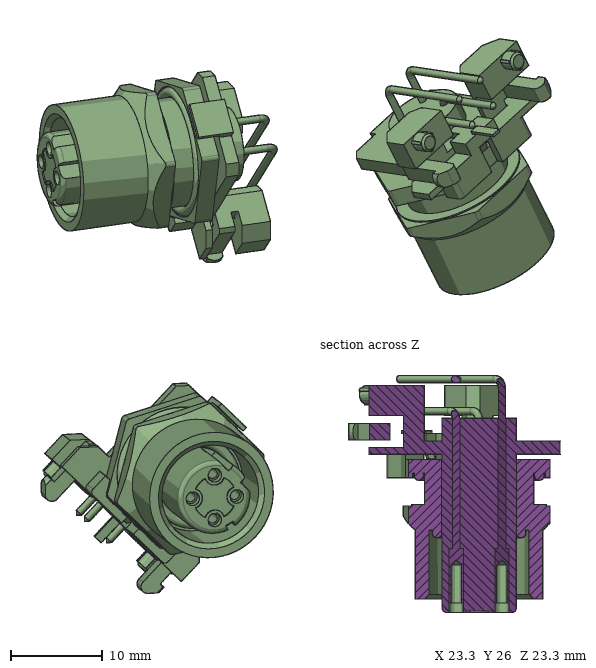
import cadquery as cq
import math

BOARD_TILT = 45
OVERALL_LENGTH = 25.95

FLANGE_FRONT = 0
FLANGE_BACK = 2.02
PLATE_FRONT = 2.57
PLATE_BACK = 4.05
INSERT_BACK = 6.52
SLEEVE_FRONT = -13.3
HEX_FRONT = -5.76
HEX_BACK = -3.06
WASHER_BACK = -2.9

HEX_FLATS = 15.0
HEX_CORNER_RADIUS = 0.52
SLEEVE_DIA = 14.0
WASHER_DIA = 14.77
NECK_DIA = 12.0
BORE_MOUTH_DIA = 12.0
BORE_DIA = 10.93
BORE_FLOOR = HEX_FRONT
SEAL_RADIUS = 0.55
FLANGE_SEAL_Y = 0.25
FLANGE_SEAL_DIA = 13.2
FLANGE_GROOVE_DIA = 14.49
FLANGE_GROOVE_DEPTH = 0.52
SEAL_SQUEEZE = 0.03

CONTACT_OFFSET = 1.77
WIRE_DIA = 0.8
SOCKET_DIA = 1.5
SOCKET_BORE_DIA = 1.1
SOCKET_RECESS = 1.05
SOCKET_BORE_DEPTH = 4.15
SOCKET_LENGTH = 5.97
BEND_RADIUS = 1.0
WIRE_TIP_Z = -11.0
OUTER_ROW_Y = 10.8
INNER_ROW_Y = 7.3

INSERT_FRONT = OUTER_ROW_Y + WIRE_DIA / 2 - OVERALL_LENGTH
SOCKET_FRONT = INSERT_FRONT + SOCKET_RECESS
INSERT_DIA = 8.15
INSERT_EDGE_RADIUS = 0.5
KEY_FLAT_HEIGHT = 3.17
KEY_HALF_WIDTH = 0.95
KEY_BACK = BORE_FLOOR - 2 * SEAL_RADIUS
NOTCH_WIDTH = 0.95
NOTCH_FLOOR_RADIUS = 3.37
NOTCH_DEPTH = 2.0
NOTCH_ANGLE = -15.7
FACE_RECESS_RADIUS = 2.41
FACE_RECESS_DEPTH = 0.15
CONTACT_BOSS_DIA = 2.2

BOARD_Z = -8.55
FOOT_END = 9.55
FOOT_INNER = 3.22
FOOT_TOP = -4.18
FOOT_OUTER_CHAMFER = 1.5
FOOT_INNER_CHAMFER = 1.1
FOOT_FRONT = 6.8
FOOT_BACK = 10.12
STRIP_BACK = 3.32
ARM_BOTTOM = -5.87
PLATE_HALF_WIDTH = 6.3
PLATE_TOP = 7.55
PLATE_CHAMFER = 1.06
CLIP_FRONT = 4.13
CLIP_BACK = 5.95
CLIP_INNER = 6.88
CLIP_OUTER = 8.5
CLIP_TIP_Z = -12.2
CLIP_TIP_RADIUS = 0.78
HOOK_TOP = -10.25
HOOK_END = 9.3
HOOK_NOSE_RADIUS = 1.32
SLOT_CORNER_RADIUS = 0.18
CRADLE_HALF_WIDTH = 6.02
CRADLE_TOP = -6.02
CRADLE_CORNER_RADIUS = 0.5
CRADLE_SLOT_HALF_WIDTH = 0.93
CRADLE_CLEARANCE = 0.13
CENTRE_HALF_WIDTH = 2.34
CENTRE_BACK = 4.85
WEB_HALF_WIDTH = 0.83
LATCH_HALF_WIDTH = 2.0
LATCH_TOP = 8.45
LATCH_UNDERSIDE = 7.95
PEG_X = 7.5
PEG_Y = 9.09
PEG_DIA = 2.0
PEG_TIP_DIA = 1.5
PEG_TIP_Z = -10.28
PEG_RIB_RADIUS = 1.15
PEG_RIB_WIDTH = 0.35
PEG_RIB_ANGLES = (30, 150, 270)

TAB_WIDTH = 1.05
TAB_THICKNESS = 0.3
TAB_TOP = -7.8
TAB_TIP = -11.5
TAB_BEND_Y = 3.12
TAB_FRONT = 2.08
TAB_RISE = 0.52


def cylinder(diameter, y_start, y_end):
    """Round bar on the socket axis."""
    plane = cq.Workplane("XZ", origin=(0, y_start, 0))
    return plane.circle(diameter / 2).extrude(y_start - y_end)


def box(x_range, y_range, z_range):
    """Box between two limits on each axis."""
    lengths = [limits[1] - limits[0] for limits in (x_range, y_range, z_range)]
    corner = (x_range[0], y_range[0], z_range[0])
    return cq.Workplane("XY", origin=corner).box(*lengths, centered=False)


def prism(points, y_start, y_end):
    """Outline in X and Z, extruded along the socket axis."""
    plane = cq.Workplane("XZ", origin=(0, y_start, 0))
    return plane.polyline(points).close().extrude(y_start - y_end)


def ring(outline_radius, wire_radius, y):
    """Round sealing bead about the socket axis."""
    section = cq.Workplane("XY").center(outline_radius, y).circle(wire_radius)
    return section.revolve(360, (-outline_radius, 0, 0), (-outline_radius, 1, 0))


def mirrored(half):
    """A bracket feature together with its copy on the other side."""
    return half.union(half.mirror("YZ"))


def hexagon(y_start, y_end, flats=HEX_FLATS):
    """Hexagonal collar with flats at top and bottom and rounded corners."""
    corner_dia = flats / math.cos(math.radians(30))
    plane = cq.Workplane("XZ", origin=(0, y_start, 0))
    return plane.polygon(6, corner_dia).extrude(y_start - y_end).edges("|Y").fillet(HEX_CORNER_RADIUS)


def front_hexagon():
    """Collar behind the sleeve, turned to a 45 degree cone at the front."""
    sleeve_radius = SLEEVE_DIA / 2
    length = HEX_BACK - HEX_FRONT
    cone = cq.Workplane("XY").polyline([
        (0, HEX_FRONT),
        (sleeve_radius, HEX_FRONT),
        (sleeve_radius + length, HEX_BACK),
        (0, HEX_BACK),
    ]).close().revolve(360, (0, 0, 0), (0, 1, 0))
    return hexagon(HEX_FRONT, HEX_BACK).intersect(cone)


def socket_bore():
    """Front bore with a conical mouth."""
    mouth_depth = (BORE_MOUTH_DIA - BORE_DIA) / 2
    return cq.Workplane("XY").polyline([
        (0, SLEEVE_FRONT),
        (BORE_MOUTH_DIA / 2, SLEEVE_FRONT),
        (BORE_DIA / 2, SLEEVE_FRONT + mouth_depth),
        (BORE_DIA / 2, BORE_FLOOR),
        (0, BORE_FLOOR),
    ]).close().revolve(360, (0, 0, 0), (0, 1, 0))


def make_housing():
    """Flange, neck, front collar and sleeve, with the sealing beads and the stepped bore."""
    bore_seal_radius = INSERT_DIA / 2 + SEAL_RADIUS - SEAL_SQUEEZE
    body = (
        hexagon(FLANGE_FRONT, FLANGE_BACK)
        .cut(cylinder(FLANGE_GROOVE_DIA, FLANGE_FRONT, FLANGE_FRONT + FLANGE_GROOVE_DEPTH))
        .union(ring(FLANGE_SEAL_DIA / 2, SEAL_RADIUS, FLANGE_SEAL_Y))
        .union(cylinder(NECK_DIA, HEX_BACK, FLANGE_BACK))
        .union(cylinder(WASHER_DIA, HEX_BACK, WASHER_BACK))
        .union(front_hexagon())
        .union(cylinder(SLEEVE_DIA, SLEEVE_FRONT, HEX_BACK))
    )
    bore_seal = ring(bore_seal_radius, SEAL_RADIUS, BORE_FLOOR - SEAL_RADIUS / 2)
    insert_hole = cylinder(INSERT_DIA, SLEEVE_FRONT, FLANGE_BACK)
    return body.cut(socket_bore()).union(bore_seal).cut(insert_hole)


def contact_places():
    """X, Z and tail row of each contact; the upper pair bends down in the outer row."""
    for x in (-CONTACT_OFFSET, CONTACT_OFFSET):
        yield x, CONTACT_OFFSET, OUTER_ROW_Y
        yield x, -CONTACT_OFFSET, INNER_ROW_Y


def contact_bore(x, z):
    """Pin hole of a contact, with a conical end."""
    bore_radius = SOCKET_BORE_DIA / 2
    bore_end = SOCKET_FRONT + SOCKET_BORE_DEPTH
    bore = cylinder(SOCKET_BORE_DIA, SOCKET_FRONT, bore_end).translate((x, 0, z))
    point = cq.Solid.makeCone(bore_radius, 0, bore_radius, cq.Vector(x, bore_end, z), cq.Vector(0, 1, 0))
    return bore.union(cq.Workplane(point))


def contact_blank(x, z, row_y):
    """Solid socket and wire, bent down to the board and pointed at the tip."""
    wire_radius = WIRE_DIA / 2
    socket_back = SOCKET_FRONT + SOCKET_LENGTH
    bend_start = row_y - BEND_RADIUS
    tip_start = WIRE_TIP_Z + wire_radius
    diagonal = BEND_RADIUS * math.sin(math.radians(45))
    path = (
        cq.Workplane("YZ", origin=(x, 0, 0))
        .moveTo(socket_back, z)
        .lineTo(bend_start, z)
        .threePointArc((bend_start + diagonal, z - BEND_RADIUS + diagonal), (row_y, z - BEND_RADIUS))
        .lineTo(row_y, tip_start)
    )
    wire = cq.Workplane("XZ", origin=(x, socket_back, z)).circle(wire_radius).sweep(path)
    tip = cq.Solid.makeCone(wire_radius, 0, wire_radius, cq.Vector(x, row_y, tip_start), cq.Vector(0, 0, -1))
    socket = cylinder(SOCKET_DIA, SOCKET_FRONT, socket_back).translate((x, 0, z))
    return wire.union(cq.Workplane(tip)).union(socket)


def make_contact(x, z, row_y):
    """One finished contact."""
    return contact_blank(x, z, row_y).cut(contact_bore(x, z))


def key_flats():
    """Material removed on both sides of the coding rib at the top of the insert."""
    radius = INSERT_DIA / 2
    side = box((KEY_HALF_WIDTH, radius), (INSERT_FRONT, KEY_BACK), (KEY_FLAT_HEIGHT, radius))
    return mirrored(side)


def coding_notch():
    """Keyway in the rim of the insert."""
    half_width = NOTCH_WIDTH / 2
    notch_end = INSERT_FRONT + NOTCH_DEPTH
    notch = box((NOTCH_FLOOR_RADIUS, INSERT_DIA), (INSERT_FRONT, notch_end), (-half_width, half_width))
    return notch.rotate((0, 0, 0), (0, 1, 0), -NOTCH_ANGLE)


def face_recess():
    """Shallow round recess in the front face, leaving a boss around each contact."""
    recess_floor = INSERT_FRONT + FACE_RECESS_DEPTH
    recess = cylinder(2 * FACE_RECESS_RADIUS, INSERT_FRONT, recess_floor)
    for x, z, _ in contact_places():
        recess = recess.cut(cylinder(CONTACT_BOSS_DIA, INSERT_FRONT, recess_floor).translate((x, 0, z)))
    return recess


def socket_insert():
    """Coded socket face and the round barrel behind it."""
    insert = cylinder(INSERT_DIA, INSERT_FRONT, INSERT_BACK).faces("<Y").edges().fillet(INSERT_EDGE_RADIUS)
    return insert.cut(key_flats()).cut(coding_notch()).cut(face_recess())


def foot_outline(bottom):
    """Chamfered section of one foot, down to the given height."""
    return [
        (FOOT_INNER, bottom),
        (FOOT_END, bottom),
        (FOOT_END, FOOT_TOP - FOOT_OUTER_CHAMFER),
        (FOOT_END - FOOT_OUTER_CHAMFER, FOOT_TOP),
        (FOOT_INNER + FOOT_INNER_CHAMFER, FOOT_TOP),
        (FOOT_INNER, FOOT_TOP - FOOT_INNER_CHAMFER),
    ]


def spring_arm():
    """Arm behind the plate that joins the rear foot and carries the clip, between two slots."""
    arm = prism(foot_outline(ARM_BOTTOM), STRIP_BACK, FOOT_FRONT)
    beyond_clip = box((CLIP_OUTER, FOOT_END), (STRIP_BACK, FOOT_FRONT), (ARM_BOTTOM, FOOT_TOP))
    arm = arm.cut(beyond_clip)
    for slot_front, slot_back in ((STRIP_BACK, CLIP_FRONT), (CLIP_BACK, FOOT_FRONT)):
        slot = box((PLATE_HALF_WIDTH, FOOT_END), (slot_front, slot_back), (ARM_BOTTOM, FOOT_TOP))
        arm = arm.cut(slot.edges("|Z and <X").fillet(SLOT_CORNER_RADIUS))
    return arm


def clip():
    """Leg with an outward hook that snaps through the board; its end is cut to a 45 degree ramp."""
    centre_x = CLIP_INNER + CLIP_TIP_RADIUS
    centre_z = CLIP_TIP_Z + CLIP_TIP_RADIUS
    ramp_top = CLIP_TIP_Z + HOOK_END - CLIP_INNER - math.sqrt(2) * CLIP_TIP_RADIUS

    def on_tip(angle):
        turn = math.radians(angle)
        return centre_x + CLIP_TIP_RADIUS * math.cos(turn), centre_z + CLIP_TIP_RADIUS * math.sin(turn)

    profile = (
        cq.Workplane("XZ", origin=(0, CLIP_FRONT, 0))
        .moveTo(CLIP_INNER, ARM_BOTTOM)
        .lineTo(*on_tip(180))
        .threePointArc(on_tip(250), on_tip(315))
        .lineTo(HOOK_END, ramp_top)
        .lineTo(HOOK_END, HOOK_TOP)
        .lineTo(CLIP_OUTER, HOOK_TOP)
        .lineTo(CLIP_OUTER, ARM_BOTTOM)
        .close()
        .extrude(CLIP_FRONT - CLIP_BACK)
    )
    middle_y = (CLIP_FRONT + CLIP_BACK) / 2
    leg_space = box((CLIP_INNER, CLIP_OUTER), (CLIP_FRONT, CLIP_BACK), (CLIP_TIP_Z, ARM_BOTTOM))
    nose_space = (
        cq.Workplane("XY", origin=(HOOK_END - HOOK_NOSE_RADIUS, middle_y, CLIP_TIP_Z))
        .circle(HOOK_NOSE_RADIUS)
        .extrude(HOOK_TOP - CLIP_TIP_Z)
    )
    return profile.intersect(leg_space.union(nose_space))


def peg():
    """Board locating peg with a tapered tip and three crush ribs."""
    taper = (PEG_DIA - PEG_TIP_DIA) / 2
    rib_length = BOARD_Z - PEG_TIP_Z - taper
    base = cq.Workplane("XY", origin=(PEG_X, PEG_Y, BOARD_Z))
    body = base.circle(PEG_DIA / 2).extrude(PEG_TIP_Z - BOARD_Z).faces("<Z").chamfer(taper)
    for angle in PEG_RIB_ANGLES:
        rib = base.center(PEG_RIB_RADIUS / 2, 0).rect(PEG_RIB_RADIUS, PEG_RIB_WIDTH).extrude(-rib_length)
        body = body.union(rib.rotate((PEG_X, PEG_Y, 0), (PEG_X, PEG_Y, 1), angle))
    return body


def foot():
    """One rear foot with its spring arm and clip."""
    rear_block = prism(foot_outline(BOARD_Z), FOOT_FRONT, FOOT_BACK)
    return rear_block.union(spring_arm()).union(clip())


def plate():
    """Upright plate with cut top corners, widened to a thin strip along the board."""
    upright = box(
        (-PLATE_HALF_WIDTH, PLATE_HALF_WIDTH), (PLATE_FRONT, PLATE_BACK), (ARM_BOTTOM, PLATE_TOP)
    ).edges("|Y and >Z").chamfer(PLATE_CHAMFER)
    strip = box(
        (-FOOT_END, FOOT_END), (PLATE_FRONT, STRIP_BACK), (BOARD_Z, FOOT_TOP)
    ).edges("|Y and >Z").chamfer(FOOT_OUTER_CHAMFER)
    return upright.union(strip)


def cradle():
    """Block under the flange, shaped to the hexagon that rests in it."""
    block = box(
        (-CRADLE_HALF_WIDTH, CRADLE_HALF_WIDTH), (FLANGE_FRONT, PLATE_FRONT), (BOARD_Z, CRADLE_TOP)
    ).edges("|Y and <Z").fillet(CRADLE_CORNER_RADIUS)
    return block.cut(hexagon(FLANGE_FRONT, PLATE_FRONT, HEX_FLATS + 2 * CRADLE_CLEARANCE))


def latch():
    """Nose on top of the plate that reaches forward over the flange."""
    width = (-LATCH_HALF_WIDTH, LATCH_HALF_WIDTH)
    root = box(width, (PLATE_FRONT, PLATE_BACK), (PLATE_TOP, LATCH_TOP))
    nose = box(width, (FLANGE_FRONT, PLATE_FRONT), (LATCH_UNDERSIDE, LATCH_TOP))
    return root.union(nose)


def centre_block():
    """Block behind the strip, with a narrow web that rises to the insert."""
    block = box((-CENTRE_HALF_WIDTH, CENTRE_HALF_WIDTH), (STRIP_BACK, CENTRE_BACK), (BOARD_Z, ARM_BOTTOM))
    web = box((-WEB_HALF_WIDTH, WEB_HALF_WIDTH), (PLATE_BACK, CENTRE_BACK), (ARM_BOTTOM, 0))
    return block.union(web)


def board_bracket():
    """Plate, feet, pegs, cradle, latch and centre block, with a slot under the flange."""
    cradle_slot = box(
        (-CRADLE_SLOT_HALF_WIDTH, CRADLE_SLOT_HALF_WIDTH), (FLANGE_FRONT, STRIP_BACK), (BOARD_Z, -HEX_FLATS / 2)
    )
    return (
        plate()
        .union(mirrored(foot()))
        .union(mirrored(peg()))
        .union(cradle())
        .union(latch())
        .union(centre_block())
        .cut(cradle_slot)
    )


def make_ground_tab():
    """Flat tab that runs down to the board and forward, where its end springs up behind the flange."""
    back = CENTRE_BACK + TAB_THICKNESS
    under = TAB_TOP - TAB_THICKNESS
    return (
        cq.Workplane("YZ", origin=(-TAB_WIDTH / 2, 0, 0))
        .polyline([
            (CENTRE_BACK, TAB_TIP),
            (back, TAB_TIP),
            (back, TAB_TOP),
            (TAB_BEND_Y, TAB_TOP),
            (TAB_FRONT, TAB_TOP + TAB_RISE),
            (TAB_FRONT, under + TAB_RISE),
            (TAB_BEND_Y, under),
            (CENTRE_BACK, under),
        ])
        .close()
        .extrude(TAB_WIDTH)
    )


def make_carrier():
    """Insert and bracket as one moulding, with passages for the contacts and the ground tab."""
    carrier = socket_insert().union(board_bracket()).cut(make_ground_tab())
    for x, z, row_y in contact_places():
        mouth = cylinder(SOCKET_DIA, INSERT_FRONT, SOCKET_FRONT).translate((x, 0, z))
        carrier = carrier.cut(mouth).cut(contact_blank(x, z, row_y))
    return carrier


def tilted(body):
    """The finished solid, turned about the socket axis."""
    return body.rotate((0, 0, 0), (0, 1, 0), BOARD_TILT).val()


housing = make_housing()
contacts = [make_contact(x, z, row_y) for x, z, row_y in contact_places()]
carrier = make_carrier()
ground_tab = make_ground_tab()

result = cq.Compound.makeCompound([
    tilted(housing),
    tilted(carrier),
    tilted(ground_tab),
    *[tilted(contact) for contact in contacts],
])